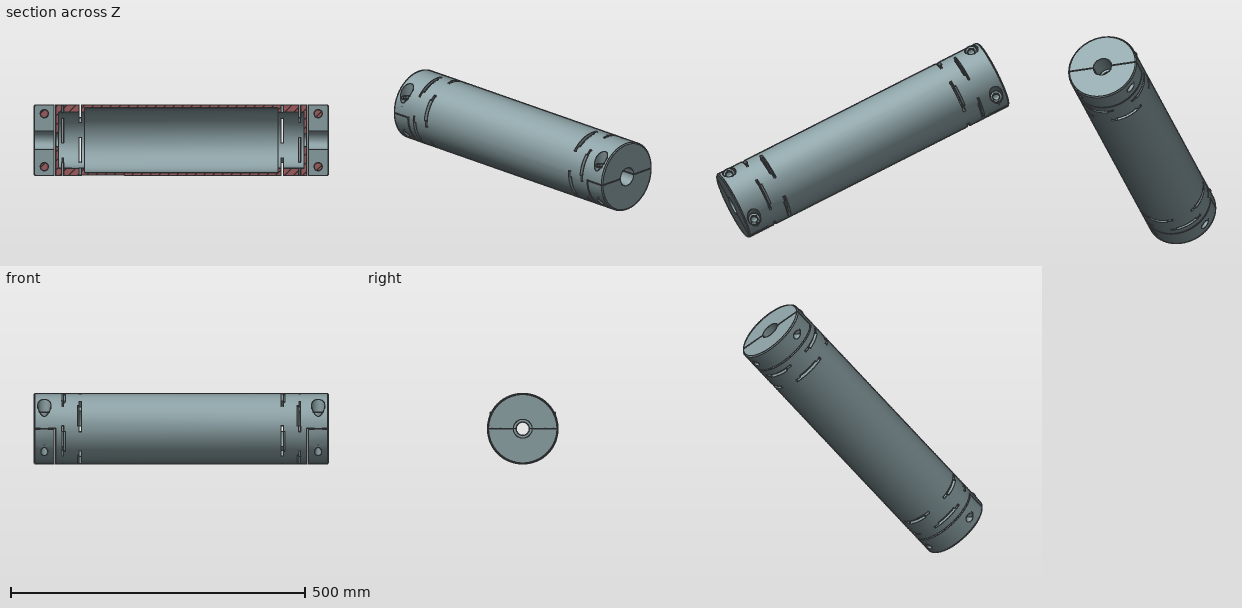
import cadquery as cq
import math

total_length = 500.0
outer_diameter = 120.0
outer_radius = outer_diameter / 2
end_chamfer = 2.0

shaft_bore_diameter = 32.0
shaft_bore_depth = 36.0
web_bore_diameter = 22.0
web_end = 42.0
hub_cavity_diameter = 95.0
hub_length = 86.0
tube_bore_diameter = 110.0

cap_length = 34.0
cap_end_gap = 2.5
split_gap = 1.5

screw_x = 17.5
screw_y = 45.0
counterbore_diameter = 22.5
head_diameter = 21.0
head_height = 14.0
head_top = 28.0
head_seat = head_top - head_height
clearance_diameter = 15.0
shank_diameter = 14.0
thread_core_diameter = 11.84
shank_bottom = -28.0
socket_width = 12.0
socket_depth = 7.0
socket_cone_depth = 3.5
head_chamfer = 0.75
hex_half_sector = 30.0

slots_per_row = 4
slot_pitch = 360.0 / slots_per_row
slot_half_angle = 28.0
outer_row_start = 47.3
outer_row_width = 3.0
outer_row_angle = slot_pitch / 4
inner_row_end = 80.6
inner_row_width = 4.0
inner_row_angle = outer_row_angle + slot_pitch / 2
relief_half_angle = 18.0
relief_width = 2.8
relief_depth = 4.0
cut_margin = 5.0


def x_cylinder(diameter, x_start, x_end):
    """Cylinder on the X axis between two stations."""
    return cq.Workplane("YZ", origin=(x_start, 0, 0)).circle(diameter / 2).extrude(x_end - x_start)


def z_cylinder(diameter, y, z_start, z_end):
    """Vertical cylinder on a screw axis."""
    plane = cq.Workplane("XY", origin=(screw_x, y, z_start))
    return plane.circle(diameter / 2).extrude(z_end - z_start)


def arc_cutter(profile_points, half_angle, center_angle):
    """Profile of (x, radius) points swept about X, centred on an angle from +Y towards +Z."""
    sector = cq.Workplane("XY").polyline(profile_points).close().revolve(2 * half_angle, (0, 0, 0), (1, 0, 0))
    return sector.rotate((0, 0, 0), (1, 0, 0), center_angle - half_angle)


def hub_blank():
    body = x_cylinder(outer_diameter, 0, hub_length).faces("<X").chamfer(end_chamfer)
    body = body.cut(x_cylinder(shaft_bore_diameter, 0, shaft_bore_depth))
    body = body.cut(x_cylinder(web_bore_diameter, 0, hub_length))
    return body.cut(x_cylinder(hub_cavity_diameter, web_end, hub_length))


def cut_cap_gaps(body):
    """Horizontal split on the axis plus a vertical gap behind the lower cap."""
    split = cq.Workplane("XY").box(cap_length, outer_diameter, split_gap, centered=(False, True, True))
    gap_height = outer_radius + split_gap / 2
    end_gap = cq.Workplane("XY").box(cap_end_gap, outer_diameter, gap_height, centered=(False, True, False))
    end_gap = end_gap.translate((cap_length, 0, -outer_radius))
    return body.cut(split).cut(end_gap)


def hex_socket(y):
    """Hexagonal recess with flats facing +X and -X and a conical bottom."""
    corner_diameter = socket_width / math.cos(math.radians(hex_half_sector))
    floor = head_top - socket_depth
    hexagon = cq.Workplane("XY", origin=(screw_x, y, floor)).transformed(rotate=(0, 0, hex_half_sector))
    hexagon = hexagon.polygon(6, corner_diameter).extrude(socket_depth)
    tip = cq.Vector(screw_x, y, floor - socket_cone_depth)
    cone = cq.Solid.makeCone(0, socket_width / 2, socket_cone_depth, tip, cq.Vector(0, 0, 1))
    return hexagon.union(cq.Workplane(cone))


def fit_screw(body, y):
    """Cut the stepped screw hole and add the screw tying the cap to the hub."""
    body = body.cut(z_cylinder(counterbore_diameter, y, head_seat, outer_radius))
    body = body.cut(z_cylinder(clearance_diameter, y, 0, head_seat))
    body = body.cut(z_cylinder(thread_core_diameter, y, -outer_radius, 0))
    screw = z_cylinder(head_diameter, y, head_seat, head_top).faces(">Z").chamfer(head_chamfer)
    screw = screw.union(z_cylinder(shank_diameter, y, shank_bottom, head_seat))
    return body.union(screw.cut(hex_socket(y)))


def cut_slot_row(body, plain_side, relieved_side, first_angle):
    """Cut one row of slots; the relief slopes away beyond the relieved side."""
    inner = hub_cavity_diameter / 2 - cut_margin
    outer = outer_radius + cut_margin
    away = math.copysign(1, relieved_side - plain_side)
    relief_edge = relieved_side + away * relief_width
    slot_profile = [(plain_side, inner), (relieved_side, inner), (relieved_side, outer), (plain_side, outer)]
    relief_profile = [
        (relieved_side, outer_radius - relief_depth),
        (relief_edge, outer_radius),
        (relief_edge, outer),
        (relieved_side, outer),
    ]
    for index in range(slots_per_row):
        angle = first_angle + index * slot_pitch
        body = body.cut(arc_cutter(slot_profile, slot_half_angle, angle))
        body = body.cut(arc_cutter(relief_profile, relief_half_angle, angle))
    return body


def clamping_hub():
    """Hub with its free end at x = 0 and the tube side towards +X."""
    body = cut_cap_gaps(hub_blank())
    for y in (-screw_y, screw_y):
        body = fit_screw(body, y)
    body = cut_slot_row(body, outer_row_start, outer_row_start + outer_row_width, outer_row_angle)
    return cut_slot_row(body, inner_row_end, inner_row_end - inner_row_width, inner_row_angle)


half_length = total_length / 2
tube_half_length = half_length - hub_length
tube = x_cylinder(outer_diameter, -tube_half_length, tube_half_length)
tube = tube.cut(x_cylinder(tube_bore_diameter, -tube_half_length, tube_half_length))

left_hub = clamping_hub().translate((-half_length, 0, 0))
right_hub = left_hub.rotate((0, 0, 0), (0, 0, 1), 180)
result = tube.union(left_hub).union(right_hub)